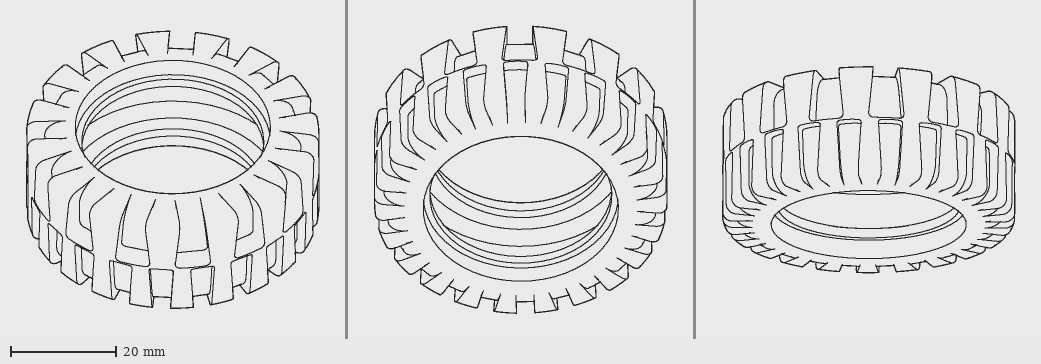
import cadquery as cq
import math

outer_radius = 27.75
width = 22.2
half_width = width / 2
shoulder_radius = 1.85

bore_radius = 37.0 / 2
lip_radius = 34.5 / 2
cavity_radius = 45.5 / 2
counterbore_depth = 3.7
lip_thickness = 1.9
lip_face_radius = 20.25
cone_height = 2.05

upper_count = 15
upper_first_angle = 180.0
upper_end_z = 0.35
upper_end_width = 6.95
upper_open_width = 4.8
upper_corner_radius = 0.95
upper_floor_end_radius = 23.2
upper_floor_bend_radius = 24.2
upper_bend_depth = 4.15
upper_floor_open_radius = 20.25

lower_count = 22
lower_first_angle = 270.0
lower_end_z = -0.15
lower_end_width = 4.65
lower_open_width = 3.4
lower_corner_radius = 0.55
lower_crown = 0.15
lower_floor_end_radius = 25.5
lower_floor_bend_radius = 25.9
lower_bend_depth = 3.85
lower_floor_open_radius = 22.1

cut_margin = 0.55


def tyre_body():
    """Ring with rounded shoulders and the stepped bore revolved out of it."""
    body = cq.Workplane("XY", origin=(0, 0, -half_width)).circle(outer_radius).extrude(width)
    body = body.edges("%CIRCLE").fillet(shoulder_radius)
    lip_outer_z = half_width - counterbore_depth
    lip_inner_z = lip_outer_z - lip_thickness
    cone_end_z = lip_inner_z - cone_height
    upper_half = [
        (cavity_radius, cone_end_z),
        (lip_face_radius, lip_inner_z),
        (lip_radius, lip_inner_z),
        (lip_radius, lip_outer_z),
        (bore_radius, lip_outer_z),
        (bore_radius, half_width),
    ]
    lower_half = [(r, -z) for r, z in reversed(upper_half)]
    outline = [(0, -half_width)] + lower_half + upper_half + [(0, half_width)]
    bore = cq.Workplane("XZ").polyline(outline).close().revolve(360, (0, 0), (0, 1))
    return body.cut(bore)


def slot_cutter(side, end_z, end_width, open_width, corner_radius, crown,
                floor_end_radius, floor_bend_radius, bend_depth, floor_open_radius):
    """Cutter for one slot on +X; side is +1 if it opens at the top, -1 at the bottom."""
    open_z = side * half_width
    bend_z = side * (half_width - bend_depth)
    past_z = side * (half_width + cut_margin)
    past_radius = outer_radius + cut_margin
    length = abs(open_z - end_z)

    flare = (end_width - open_width) / length
    past_width = open_width - flare * cut_margin
    outline = (
        cq.Workplane("YZ")
        .moveTo(-end_width / 2, end_z)
        .lineTo(-past_width / 2, past_z)
        .lineTo(past_width / 2, past_z)
        .lineTo(end_width / 2, end_z)
    )
    if crown:
        outline = outline.threePointArc((0, end_z - side * crown), (-end_width / 2, end_z))
    window = outline.close().extrude(past_radius)
    end_corners = cq.selectors.BoxSelector(
        (0, -end_width, end_z - corner_radius),
        (past_radius, end_width, end_z + corner_radius),
    )
    window = window.edges("|X").edges(end_corners).fillet(corner_radius)

    beyond_z = end_z - side * cut_margin
    run = floor_bend_radius - floor_open_radius
    bend_radius = (run**2 + bend_depth**2) / (2 * bend_depth)
    half_turn = math.atan2(bend_depth, run)
    bend_middle = (
        floor_open_radius + bend_radius * math.sin(half_turn),
        open_z - side * bend_radius * (1 - math.cos(half_turn)),
    )
    depth = (
        cq.Workplane("XZ")
        .moveTo(past_radius, past_z)
        .lineTo(floor_open_radius, past_z)
        .lineTo(floor_open_radius, open_z)
        .threePointArc(bend_middle, (floor_bend_radius, bend_z))
        .lineTo(floor_end_radius, beyond_z)
        .lineTo(past_radius, beyond_z)
        .close()
        .extrude(end_width, both=True)
    )
    return window.intersect(depth)


def cut_slots(body, cutter, count, first_angle):
    """Cut evenly spaced slots around the Z axis."""
    for i in range(count):
        angle = first_angle + i * 360.0 / count
        body = body.cut(cutter.rotate((0, 0, 0), (0, 0, 1), angle))
    return body


upper_cutter = slot_cutter(
    1, upper_end_z, upper_end_width, upper_open_width, upper_corner_radius, 0,
    upper_floor_end_radius, upper_floor_bend_radius, upper_bend_depth, upper_floor_open_radius,
)
lower_cutter = slot_cutter(
    -1, lower_end_z, lower_end_width, lower_open_width, lower_corner_radius, lower_crown,
    lower_floor_end_radius, lower_floor_bend_radius, lower_bend_depth, lower_floor_open_radius,
)

result = tyre_body()
result = cut_slots(result, upper_cutter, upper_count, upper_first_angle)
result = cut_slots(result, lower_cutter, lower_count, lower_first_angle)